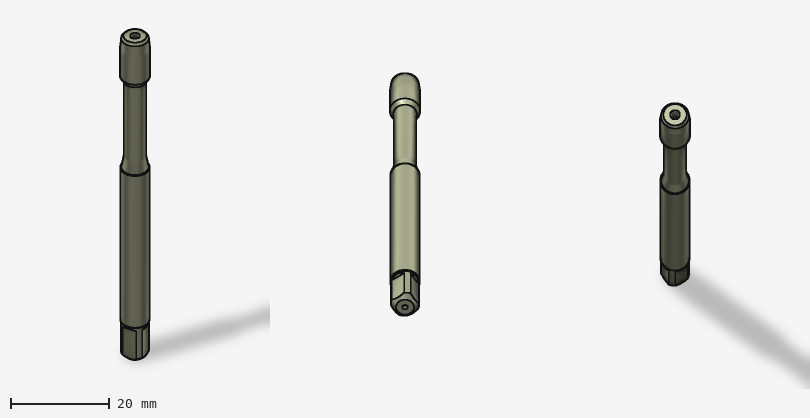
import cadquery as cq
import math

total_length = 80.0
square_top = 8.0
drive_top = 8.7
shank_start = 9.0
shank_end = 47.0
taper_start = 47.15
neck_start = 50.0
neck_end = 68.3
collar_top = 68.8
head_start = 70.0
lead_start = 77.0
tip_chamfer_height = 0.6

drive_diameter = 5.76
shank_diameter = 6.0
taper_diameter = 5.6
neck_diameter = 4.57
collar_diameter = 4.74
head_diameter = 6.14
tip_diameter = 5.66
tip_face_diameter = 4.7

flat_count = 4
square_size = 4.9
flat_run_out_angle = 40.0
drive_chamfer = 1.05

hole_diameter = 1.1
countersink_diameter = 2.0
countersink_angle = 30.0


def revolved(outline):
    """Solid of revolution about Z from (radius, height) points."""
    return cq.Workplane("XZ").polyline(outline).close().revolve(360, (0, 0), (0, 1))


def turned_body():
    """Revolved outline of the drive, shank, neck and head."""
    drive_radius = drive_diameter / 2
    shank_radius = shank_diameter / 2
    taper_radius = taper_diameter / 2
    neck_radius = neck_diameter / 2
    collar_radius = collar_diameter / 2
    head_radius = head_diameter / 2
    tip_radius = tip_diameter / 2
    tip_face_radius = tip_face_diameter / 2
    outline = [
        (0, 0),
        (drive_radius - drive_chamfer, 0),
        (drive_radius, drive_chamfer),
        (drive_radius, drive_top),
        (shank_radius, shank_start),
        (shank_radius, shank_end),
        (taper_radius, taper_start),
        (neck_radius, neck_start),
        (neck_radius, neck_end),
        (collar_radius, collar_top),
        (head_radius, head_start),
        (head_radius, lead_start),
        (tip_radius, total_length - tip_chamfer_height),
        (tip_face_radius, total_length),
        (0, total_length),
    ]
    return revolved(outline)


def flat_cutter():
    """Material removed for one drive flat, ending in a run-out slope at its top."""
    flat_offset = square_size / 2
    cut_reach = shank_diameter
    run_out_top = square_top + (cut_reach - flat_offset) * math.tan(math.radians(flat_run_out_angle))
    outline = [
        (flat_offset, 0),
        (flat_offset, square_top),
        (cut_reach, run_out_top),
        (cut_reach, 0),
    ]
    return cq.Workplane("XZ").polyline(outline).close().extrude(shank_diameter / 2, both=True)


def axial_hole():
    """Through hole with a conical mouth at the tip."""
    hole_radius = hole_diameter / 2
    mouth_radius = countersink_diameter / 2
    mouth_depth = (mouth_radius - hole_radius) / math.tan(math.radians(countersink_angle / 2))
    outline = [
        (0, 0),
        (hole_radius, 0),
        (hole_radius, total_length - mouth_depth),
        (mouth_radius, total_length),
        (0, total_length),
    ]
    return revolved(outline)


result = turned_body().cut(axial_hole())
for flat in range(flat_count):
    flat_angle = 360 / flat_count * flat
    result = result.cut(flat_cutter().rotate((0, 0, 0), (0, 0, 1), flat_angle))